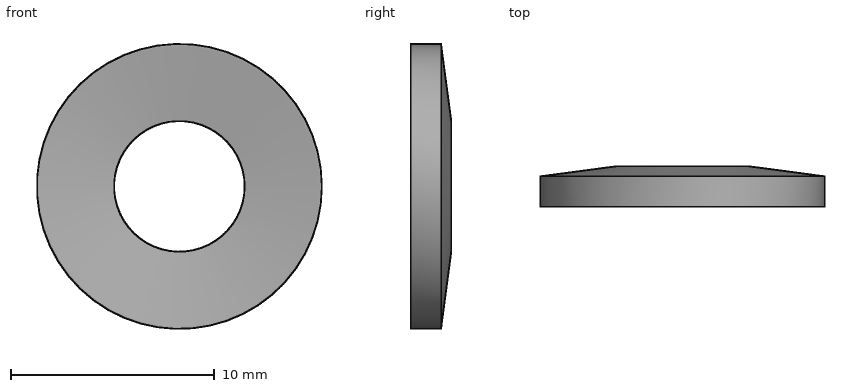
import cadquery as cq

outer_diameter = 14.0
hole_diameter = 6.4
overall_height = 2.0
rim_height = 1.5
seat_width = 0.1

outer_radius = outer_diameter / 2
hole_radius = hole_diameter / 2
seat_radius = outer_radius - seat_width
dome_rise = overall_height - rim_height
cone_slope = dome_rise / (outer_radius - hole_radius)
hollow_depth = cone_slope * (seat_radius - hole_radius)
back_y = -overall_height / 2

section = (
    cq.Workplane("XY")
    .moveTo(seat_radius, back_y)
    .lineTo(outer_radius, back_y)
    .lineTo(outer_radius, back_y + rim_height)
    .lineTo(hole_radius, back_y + overall_height)
    .lineTo(hole_radius, back_y + hollow_depth)
    .close()
)

result = section.revolve(360, (0, 0, 0), (0, 1, 0))